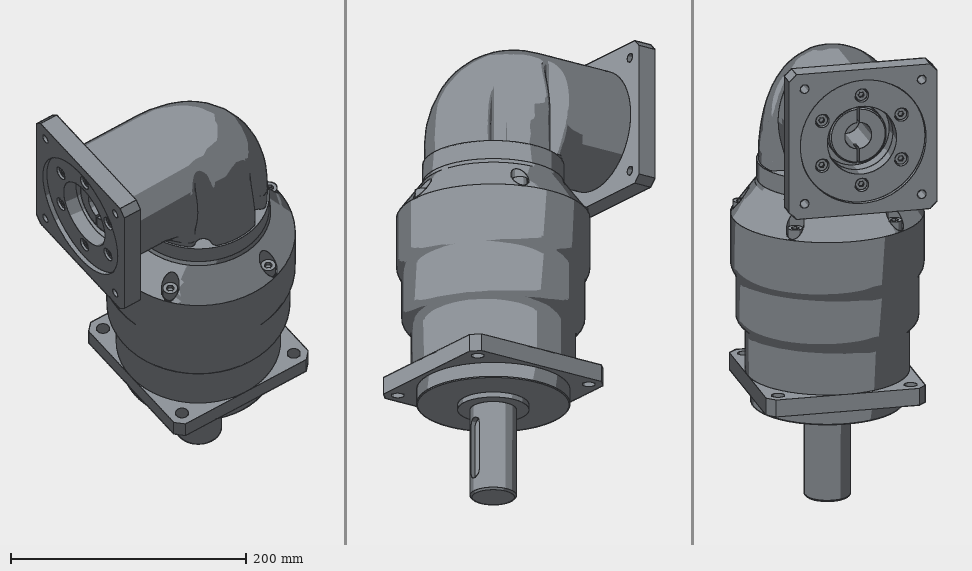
import cadquery as cq
import math


SHAFT_RADIUS = 20.0
SHAFT_CHAMFER = 1.5
KEYWAY_WIDTH = 12.0
KEYWAY_DEPTH = 5.0
KEYWAY_BOTTOM = 13.5
KEYWAY_TOP = 68.5

SEAL_BOTTOM = 79.5
PILOT_BOTTOM = 84.5
FLANGE_BOTTOM = 98.0
FLANGE_TOP = 113.0
LOWER_STEP = (147.0, 156.0, 163.5)
UPPER_STEP = (197.0, 203.0, 211.0)
CONE_BOTTOM = 254.0
CONE_TOP = 281.5
COLLAR_BOTTOM = 285.5
COLLAR_TOP = 302.0

SEAL_RADIUS = 30.5
PILOT_RADIUS = 65.5
PILOT_CHAMFER = 1.0
FRONT_RADIUS = 70.0
MIDDLE_RADIUS = 78.0
REAR_RADIUS = 165.0 / 2
CONE_TOP_RADIUS = 61.5
COLLAR_RADIUS = 60.5

FLANGE_CHAMFER = 7.0
FLANGE_HOLE_OFFSET = 58.0
FLANGE_HOLE_RADIUS = 5.5

CONE_SCREW_COUNT = 5
CONE_SCREW_CIRCLE = 74.2
CONE_POCKET_RADIUS = 7.5
CONE_HEAD_RADIUS = 6.5
CONE_HEAD_TOP = 262.7
CONE_SOCKET_WIDTH = 6.7
CONE_SOCKET_DEPTH = 3.5

OVERALL_HEIGHT = 421.5
OVERALL_DEPTH = 205.5
PLATE_SIDE = 130.0
PIPE_AXIS_Z = OVERALL_HEIGHT - PLATE_SIDE / 2
PIPE_RADIUS = 52.7
ELBOW_BASE_RADIUS = 58.5
BEND_RADIUS = 87.5
BEND_CENTER_Y = BEND_RADIUS - ELBOW_BASE_RADIUS
PIPE_TOP = PIPE_AXIS_Z + PIPE_RADIUS
PIPE_BOTTOM = PIPE_AXIS_Z - PIPE_RADIUS
BEND_CENTER_Z = PIPE_TOP - BEND_RADIUS
INNER_CORNER_Y = 72.0
BEND_STEPS = 4

GROOVE_X = 48.0
GROOVE_Y = 28.5
GROOVE_CENTERS = [(x, y) for x in (-GROOVE_X, GROOVE_X) for y in (-GROOVE_Y, GROOVE_Y)]
GROOVE_RADIUS = 7.0
GROOVE_EDGE_RADIUS = 5.0

PLATE_THICKNESS = 17.0
PLATE_CHAMFER = 6.5
PLATE_FRONT = OVERALL_DEPTH - REAR_RADIUS
PLATE_BACK = PLATE_FRONT - PLATE_THICKNESS
PLATE_HOLE_OFFSET = 51.5
PLATE_HOLE_RADIUS = 4.0
RECESS_RADIUS = 55.2
RECESS_DEPTH = 4.2
INPUT_BORE_RADIUS = 30.5
INPUT_BORE_DEPTH = 12.5

HUB_RADIUS = 25.0
HUB_CHAMFER = 1.3
HUB_BORE_RADIUS = 12.0
HUB_BORE_DEPTH = 42.0
HUB_SLIT_WIDTH = 2.0

PLATE_SCREW_COUNT = 6
PLATE_SCREW_CIRCLE = 40.0
PLATE_COUNTERBORE_RADIUS = 6.0
PLATE_HEAD_RADIUS = 5.0
PLATE_HEAD_HEIGHT = 6.0
PLATE_HEAD_SINK = 2.0
PLATE_SHANK_RADIUS = 3.0
PLATE_SOCKET_WIDTH = 5.0
PLATE_SOCKET_DEPTH = 2.5


def input_plane(distance):
    """Plane across the pipe axis at a distance toward the input, with its normal pointing outward (-Y)."""
    return cq.Workplane("XZ", origin=(0, -distance, PIPE_AXIS_Z))


def circle_points(count, radius, first_angle):
    angles = [math.radians(first_angle + 360 * i / count) for i in range(count)]
    return [(radius * math.cos(a), radius * math.sin(a)) for a in angles]


def square_corners(offset):
    return [(x, y) for x in (-offset, offset) for y in (-offset, offset)]


def s_step(profile, lower_radius, upper_radius, heights):
    """Continue a profile upward through two tangent arcs that both end parallel to the axis."""
    start, middle, end = heights
    rise = end - start
    middle_radius = lower_radius + (upper_radius - lower_radius) * (middle - start) / rise
    return (
        profile.lineTo(lower_radius, start)
        .tangentArcPoint((middle_radius, middle), relative=False)
        .tangentArcPoint((upper_radius, end), relative=False)
    )


def turned_housing():
    profile = (
        cq.Workplane("XZ")
        .moveTo(0, 0)
        .lineTo(SHAFT_RADIUS - SHAFT_CHAMFER, 0)
        .lineTo(SHAFT_RADIUS, SHAFT_CHAMFER)
        .lineTo(SHAFT_RADIUS, SEAL_BOTTOM)
        .lineTo(SEAL_RADIUS, SEAL_BOTTOM)
        .lineTo(SEAL_RADIUS, PILOT_BOTTOM)
        .lineTo(PILOT_RADIUS - PILOT_CHAMFER, PILOT_BOTTOM)
        .lineTo(PILOT_RADIUS, PILOT_BOTTOM + PILOT_CHAMFER)
        .lineTo(PILOT_RADIUS, FLANGE_BOTTOM)
        .lineTo(FRONT_RADIUS, FLANGE_BOTTOM)
    )
    profile = s_step(profile, FRONT_RADIUS, MIDDLE_RADIUS, LOWER_STEP)
    profile = s_step(profile, MIDDLE_RADIUS, REAR_RADIUS, UPPER_STEP)
    profile = (
        profile.lineTo(REAR_RADIUS, CONE_BOTTOM)
        .lineTo(CONE_TOP_RADIUS, CONE_TOP)
        .lineTo(COLLAR_RADIUS, COLLAR_BOTTOM)
        .lineTo(COLLAR_RADIUS, COLLAR_TOP)
        .lineTo(0, COLLAR_TOP)
        .close()
    )
    return profile.revolve(360, (0, 0, 0), (0, 1, 0))


def output_flange():
    return (
        cq.Workplane("XY", origin=(0, 0, FLANGE_BOTTOM))
        .rect(2 * FRONT_RADIUS, 2 * FRONT_RADIUS)
        .extrude(FLANGE_TOP - FLANGE_BOTTOM)
        .edges("|Z")
        .chamfer(FLANGE_CHAMFER)
        .faces(">Z")
        .workplane()
        .pushPoints(square_corners(FLANGE_HOLE_OFFSET))
        .hole(2 * FLANGE_HOLE_RADIUS)
    )


def keyway():
    """Round-ended slot on the +Y side of the shaft."""
    length = KEYWAY_TOP - KEYWAY_BOTTOM
    middle = (KEYWAY_TOP + KEYWAY_BOTTOM) / 2
    return (
        cq.Workplane("XZ", origin=(0, SHAFT_RADIUS - KEYWAY_DEPTH, middle))
        .slot2D(length, KEYWAY_WIDTH, 90)
        .extrude(-SHAFT_RADIUS)
    )


def side_prism(points):
    """Solid as wide as the elbow, from (distance toward the input, height) points of its side outline."""
    return (
        cq.Workplane("YZ", origin=(-ELBOW_BASE_RADIUS, 0, 0))
        .polyline([(-distance, height) for distance, height in points])
        .close()
        .extrude(2 * ELBOW_BASE_RADIUS)
    )


def bend_section(angle):
    """Elliptical section of the elbow, from its outer contour at this angle to its inner corner."""
    share = angle / 90
    outer_distance = BEND_CENTER_Y - BEND_RADIUS * math.cos(math.radians(angle))
    outer_height = BEND_CENTER_Z + BEND_RADIUS * math.sin(math.radians(angle))
    inner_distance = ELBOW_BASE_RADIUS + (INNER_CORNER_Y - ELBOW_BASE_RADIUS) * share
    half_width = ELBOW_BASE_RADIUS + (PIPE_RADIUS - ELBOW_BASE_RADIUS) * share
    outer = cq.Vector(0, -outer_distance, outer_height)
    inner = cq.Vector(0, -inner_distance, PIPE_BOTTOM)
    span = outer - inner
    plane = cq.Plane(origin=(outer + inner) / 2, xDir=span, normal=cq.Vector(1, 0, 0).cross(span))
    return cq.Workplane(plane).ellipse(span.Length / 2, half_width).val()


def elbow_base():
    """Upright cylinder that ends on the slanted first section of the bend."""
    outline = side_prism([
        (-ELBOW_BASE_RADIUS, COLLAR_TOP),
        (-ELBOW_BASE_RADIUS, BEND_CENTER_Z),
        (ELBOW_BASE_RADIUS, PIPE_BOTTOM),
        (ELBOW_BASE_RADIUS, COLLAR_TOP),
    ])
    cylinder = (
        cq.Workplane("XY", origin=(0, 0, COLLAR_TOP))
        .circle(ELBOW_BASE_RADIUS)
        .extrude(BEND_CENTER_Z - COLLAR_TOP)
    )
    return cylinder.intersect(outline)


def elbow_bend():
    sections = [bend_section(90 * i / BEND_STEPS) for i in range(BEND_STEPS + 1)]
    return cq.Workplane(cq.Solid.makeLoft(sections))


def input_pipe():
    """Horizontal cylinder from the slanted last section of the bend to the adapter plate."""
    outline = side_prism([
        (BEND_CENTER_Y, PIPE_TOP),
        (PLATE_BACK, PIPE_TOP),
        (PLATE_BACK, PIPE_BOTTOM),
        (INNER_CORNER_Y, PIPE_BOTTOM),
    ])
    return input_plane(0).circle(PIPE_RADIUS).extrude(PLATE_BACK).intersect(outline)


def elbow():
    grooves = (
        cq.Workplane("XY", origin=(0, 0, COLLAR_TOP))
        .pushPoints(GROOVE_CENTERS)
        .circle(GROOVE_RADIUS)
        .extrude(OVERALL_HEIGHT - COLLAR_TOP)
    )
    body = elbow_base().union(elbow_bend()).union(input_pipe()).cut(grooves)
    groove_edges = []
    for x, y in GROOVE_CENTERS:
        around_groove = cq.selectors.BoxSelector(
            (x - GROOVE_RADIUS, y - GROOVE_RADIUS, COLLAR_TOP + GROOVE_EDGE_RADIUS / 4),
            (x + GROOVE_RADIUS, y + GROOVE_RADIUS, PIPE_TOP),
        )
        groove_edges += body.edges(around_groove).vals()
    return body.newObject(groove_edges).fillet(GROOVE_EDGE_RADIUS)


def cone_screw_pockets():
    return (
        cq.Workplane("XY", origin=(0, 0, CONE_BOTTOM))
        .pushPoints(circle_points(CONE_SCREW_COUNT, CONE_SCREW_CIRCLE, 90))
        .circle(CONE_POCKET_RADIUS)
        .extrude(CONE_TOP - CONE_BOTTOM)
    )


def cone_screw_heads():
    return (
        cq.Workplane("XY", origin=(0, 0, CONE_BOTTOM))
        .pushPoints(circle_points(CONE_SCREW_COUNT, CONE_SCREW_CIRCLE, 90))
        .circle(CONE_HEAD_RADIUS)
        .extrude(CONE_HEAD_TOP - CONE_BOTTOM)
        .faces(">Z")
        .workplane(origin=(0, 0, CONE_HEAD_TOP))
        .pushPoints(circle_points(CONE_SCREW_COUNT, CONE_SCREW_CIRCLE, 90))
        .polygon(6, CONE_SOCKET_WIDTH)
        .cutBlind(-CONE_SOCKET_DEPTH)
    )


def hub_gap():
    """Annular space between the clamping hub and the bore around it."""
    return (
        input_plane(PLATE_BACK)
        .circle(INPUT_BORE_RADIUS)
        .circle(HUB_RADIUS)
        .extrude(-INPUT_BORE_DEPTH)
    )


def hub_edge_chamfer():
    size = HUB_CHAMFER
    ring = input_plane(PLATE_BACK - size).circle(HUB_RADIUS).extrude(size)
    cone = cq.Solid.makeCone(
        HUB_RADIUS, HUB_RADIUS - size, size,
        cq.Vector(0, size - PLATE_BACK, PIPE_AXIS_Z), cq.Vector(0, -1, 0),
    )
    return ring.cut(cq.Workplane(cone))


def hub_bore():
    bore = input_plane(PLATE_BACK).circle(HUB_BORE_RADIUS).extrude(-HUB_BORE_DEPTH)
    slit = input_plane(PLATE_BACK).rect(HUB_SLIT_WIDTH, 2 * HUB_RADIUS).extrude(-INPUT_BORE_DEPTH)
    return bore.union(slit)


def plate_screws():
    positions = circle_points(PLATE_SCREW_COUNT, PLATE_SCREW_CIRCLE, 90)
    head_top = PLATE_FRONT - RECESS_DEPTH - PLATE_HEAD_SINK
    head_bottom = head_top - PLATE_HEAD_HEIGHT
    heads = (
        input_plane(head_bottom).pushPoints(positions).circle(PLATE_HEAD_RADIUS).extrude(PLATE_HEAD_HEIGHT)
    )
    shanks = (
        input_plane(PLATE_BACK)
        .pushPoints(positions)
        .circle(PLATE_SHANK_RADIUS)
        .extrude(head_bottom - PLATE_BACK)
    )
    sockets = (
        input_plane(head_top)
        .pushPoints(positions)
        .polygon(6, PLATE_SOCKET_WIDTH)
        .extrude(-PLATE_SOCKET_DEPTH)
    )
    return heads.union(shanks).cut(sockets)


def make_gearbox():
    body = turned_housing().union(output_flange()).cut(keyway())
    body = body.cut(cone_screw_pockets()).union(cone_screw_heads())
    body = body.union(elbow())
    body = body.cut(hub_gap()).cut(hub_edge_chamfer()).cut(hub_bore())
    return body.union(plate_screws())


def make_adapter_plate():
    positions = circle_points(PLATE_SCREW_COUNT, PLATE_SCREW_CIRCLE, 90)
    recess_floor = PLATE_FRONT - RECESS_DEPTH
    head_bottom = recess_floor - PLATE_HEAD_SINK - PLATE_HEAD_HEIGHT
    plate = (
        input_plane(PLATE_BACK)
        .rect(PLATE_SIDE, PLATE_SIDE)
        .extrude(PLATE_THICKNESS)
        .edges("|Y")
        .chamfer(PLATE_CHAMFER)
    )
    recess = input_plane(recess_floor).circle(RECESS_RADIUS).extrude(RECESS_DEPTH)
    bore = input_plane(PLATE_BACK).circle(INPUT_BORE_RADIUS).extrude(PLATE_THICKNESS)
    corner_holes = (
        input_plane(PLATE_BACK)
        .pushPoints(square_corners(PLATE_HOLE_OFFSET))
        .circle(PLATE_HOLE_RADIUS)
        .extrude(PLATE_THICKNESS)
    )
    shank_holes = (
        input_plane(PLATE_BACK).pushPoints(positions).circle(PLATE_SHANK_RADIUS).extrude(PLATE_THICKNESS)
    )
    counterbores = (
        input_plane(head_bottom).pushPoints(positions).circle(PLATE_COUNTERBORE_RADIUS).extrude(PLATE_THICKNESS)
    )
    return plate.cut(recess).cut(bore).cut(corner_holes).cut(shank_holes).cut(counterbores)


gearbox = make_gearbox()
adapter_plate = make_adapter_plate()

result = cq.Compound.makeCompound([gearbox.val(), adapter_plate.val()])